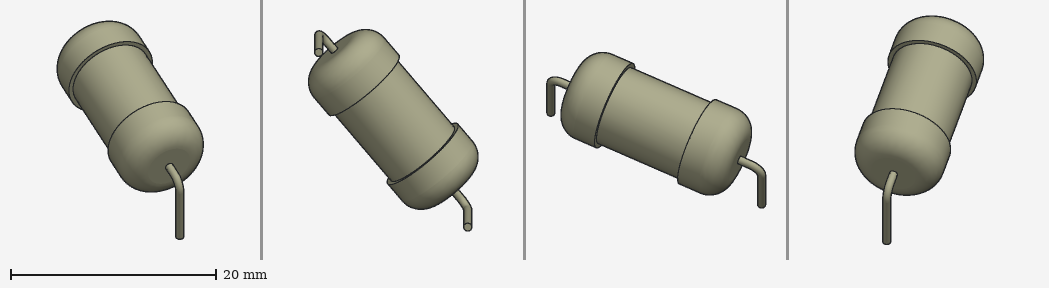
import cadquery as cq

overall_length = 23.65
overall_height = 12.0
body_length = 18.0
cap_diameter = 9.0
cap_length = 4.5
cap_edge_radius = 2.25
sleeve_diameter = 8.1
lead_diameter = 0.8
lead_bend_radius = 1.2

lead_x = (overall_length - lead_diameter) / 2
lead_bottom_z = cap_diameter / 2 - overall_height
sleeve_length = body_length - 2 * cap_length


def make_body():
    """Cylindrical sleeve between two larger end caps with rounded outer edges."""
    blank = (
        cq.Workplane("YZ", origin=(-body_length / 2, 0, 0))
        .circle(cap_diameter / 2)
        .extrude(body_length)
        .edges("%CIRCLE")
        .fillet(cap_edge_radius)
    )
    waist_cut = (
        cq.Workplane("YZ", origin=(-sleeve_length / 2, 0, 0))
        .circle(cap_diameter)
        .circle(sleeve_diameter / 2)
        .extrude(sleeve_length)
    )
    return blank.cut(waist_cut)


def make_lead():
    """Round wire leaving the +X cap along the axis and bending down."""
    inner_x = body_length / 2 - cap_length / 2
    bend_start_x = lead_x - lead_bend_radius
    path = (
        cq.Workplane("XZ")
        .moveTo(inner_x, 0)
        .lineTo(bend_start_x, 0)
        .tangentArcPoint((lead_x, -lead_bend_radius), relative=False)
        .lineTo(lead_x, lead_bottom_z)
    )
    profile = cq.Workplane("YZ", origin=(inner_x, 0, 0)).circle(lead_diameter / 2)
    return profile.sweep(path)


lead = make_lead()
result = make_body().union(lead).union(lead.mirror("YZ"))